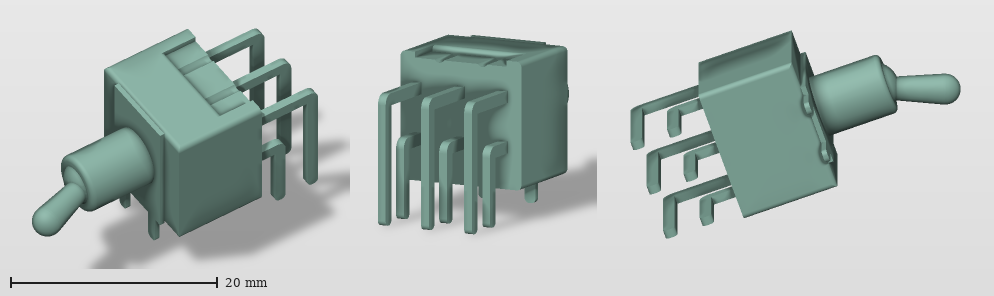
import cadquery as cq
import math


housing_width = 13.2
housing_depth = 9.6
housing_height = 12.7
overall_height = 15.9
edge_radius = 0.5

recess_width = 10.0
recess_front = 6.02
recess_drop = 0.6
groove_radius = 0.6
groove_half_width = 0.5

terminal_pitch = 4.7
terminal_width = 0.85
terminal_thickness = 1.2
terminal_bend_radius = 1.0
tip_radius = 0.5
upper_terminal_top = 3.4
upper_terminal_reach = 17.1
row_drop = 5.0
row_step = 3.77

plate_width = 8.0
plate_thickness = 0.5
leg_width = 1.22
leg_spacing = 5.05

bushing_radius = 3.0
bushing_length = 7.1
socket_opening_radius = 2.0

pivot_depth = 1.6
lever_tilt = 20.5
lever_root_radius = 1.0
lever_tip_radius = 1.5
lever_length = 6.98
lever_band_length = 0.2

housing_top = housing_height / 2
foot_bottom = housing_top - overall_height
bushing_face = -(plate_thickness + bushing_length)
pivot_y = bushing_face + pivot_depth
ball_radius = math.hypot(socket_opening_radius, pivot_depth)


def make_ball():
    return cq.Workplane("XY").sphere(ball_radius).translate((0, pivot_y, 0))


def make_top_recess():
    """Recess open to the rear, rounded over where it meets the top face."""
    floor = housing_top - recess_drop
    round_start = recess_front - edge_radius
    round_offset = edge_radius * math.sqrt(0.5)
    return (
        cq.Workplane("YZ")
        .moveTo(round_start, housing_top)
        .threePointArc(
            (round_start + round_offset, housing_top - edge_radius + round_offset),
            (recess_front, housing_top - edge_radius),
        )
        .lineTo(recess_front, floor)
        .lineTo(housing_depth, floor)
        .lineTo(housing_depth, housing_top)
        .close()
        .extrude(recess_width / 2, both=True)
    )


def make_floor_grooves():
    """Two round-bottomed grooves midway between the terminal columns."""
    rise = math.sqrt(groove_radius**2 - groove_half_width**2)
    axis_height = housing_top - recess_drop + rise
    return (
        cq.Workplane("XZ", origin=(0, recess_front, axis_height))
        .pushPoints([(-terminal_pitch / 2, 0), (terminal_pitch / 2, 0)])
        .circle(groove_radius)
        .extrude(recess_front - housing_depth)
    )


def make_housing():
    block = (
        cq.Workplane("XY")
        .box(housing_width, housing_depth, housing_height, centered=(True, False, True))
        .edges("|Y or (|X and <Y)")
        .fillet(edge_radius)
    )
    return block.cut(make_top_recess()).cut(make_floor_grooves())


def make_terminal(x, top, reach):
    """L-shaped terminal leaving the housing rear and bending down to its foot."""
    inner_reach = reach - terminal_thickness
    return (
        cq.Workplane("YZ")
        .moveTo(housing_depth, top)
        .lineTo(reach, top)
        .lineTo(reach, foot_bottom)
        .lineTo(inner_reach, foot_bottom)
        .lineTo(inner_reach, top - terminal_thickness)
        .lineTo(housing_depth, top - terminal_thickness)
        .close()
        .extrude(terminal_width / 2, both=True)
        .edges("|X and >Y and >Z")
        .fillet(terminal_bend_radius)
        .faces("<Z")
        .edges("|X")
        .fillet(tip_radius)
        .translate((x, 0, 0))
    )


def make_terminals():
    terminals = []
    for row in range(2):
        top = upper_terminal_top - row * row_drop
        reach = upper_terminal_reach - row * row_step
        for column in (-1, 0, 1):
            terminals.append(make_terminal(column * terminal_pitch, top, reach))
    return terminals


def make_front_plate():
    """Plate, legs and bushing as one piece, with a spherical socket for the lever."""
    plate = cq.Workplane("XY", origin=(0, -plate_thickness, 0)).box(
        plate_width, plate_thickness, housing_height, centered=(True, False, True)
    )
    leg_height = -foot_bottom
    leg = (
        cq.Workplane("XY", origin=(0, -plate_thickness, foot_bottom))
        .box(leg_width, plate_thickness, leg_height, centered=(True, False, False))
        .faces("<Z")
        .edges("|Y")
        .fillet(tip_radius)
    )
    for side in (-1, 1):
        plate = plate.union(leg.translate((side * leg_spacing / 2, 0, 0)))
    bushing = (
        cq.Workplane("XZ", origin=(0, -plate_thickness, 0))
        .circle(bushing_radius)
        .extrude(bushing_length)
        .faces("<Y")
        .edges()
        .fillet(edge_radius)
    )
    return plate.union(bushing).cut(make_ball())


def make_lever():
    """Ball with a tapered round handle, tilted toward +X about the ball centre."""
    taper_end = lever_length - lever_band_length
    arc_offset = lever_tip_radius * math.sqrt(0.5)
    handle = (
        cq.Workplane("XY")
        .moveTo(0, 0)
        .lineTo(lever_root_radius, 0)
        .lineTo(lever_tip_radius, -taper_end)
        .lineTo(lever_tip_radius, -lever_length)
        .threePointArc(
            (arc_offset, -lever_length - arc_offset),
            (0, -lever_length - lever_tip_radius),
        )
        .close()
        .revolve(360, (0, 0, 0), (0, 1, 0))
        .rotate((0, 0, 0), (0, 0, 1), lever_tilt)
        .translate((0, pivot_y, 0))
    )
    return make_ball().union(handle)


housing = make_housing()
terminals = make_terminals()
front_plate = make_front_plate()
lever = make_lever()

result = cq.Compound.makeCompound(
    [
        housing.val(),
        *[terminal.val() for terminal in terminals],
        front_plate.val(),
        lever.val(),
    ]
)